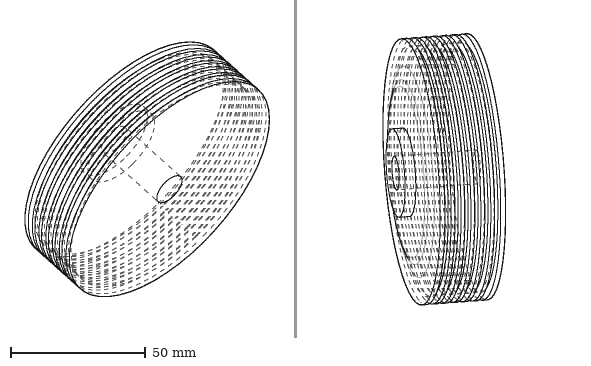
import cadquery as cq
import math


rim_radius = 49.7
rim_width = 25.0

groove_count = 6
groove_pitch = 3.8
groove_depth = 3.0
groove_top_width = 2.3
groove_floor_width = 1.4

web_rise = 2.0
web_face_radius = 32.0
concave_radius = 9.9
convex_radius = 5.0

boss_rise = 4.1
boss_radius = 16.5
bore_radius = 6.3

rim_face_x = -rim_width
web_face_x = rim_face_x - web_rise
boss_face_x = web_face_x - boss_rise

blend_angle = math.acos(1 - web_rise / (concave_radius + convex_radius))
blend_outer_radius = web_face_radius + (concave_radius + convex_radius) * math.sin(blend_angle)


def convex_point(angle):
    """Point on the arc rounding off the web face, measured from that face."""
    x = web_face_x + convex_radius * (1 - math.cos(angle))
    return (x, web_face_radius + convex_radius * math.sin(angle))


def concave_point(angle):
    """Point on the arc rising from the rim face, measured from that face."""
    x = rim_face_x - concave_radius * (1 - math.cos(angle))
    return (x, blend_outer_radius - concave_radius * math.sin(angle))


def make_body():
    """Revolve the half section of the rim, web, boss and bore."""
    section = (
        cq.Workplane("XY")
        .moveTo(0, bore_radius)
        .lineTo(boss_face_x, bore_radius)
        .lineTo(boss_face_x, boss_radius)
        .lineTo(web_face_x, boss_radius)
        .lineTo(web_face_x, web_face_radius)
        .threePointArc(convex_point(blend_angle / 2), convex_point(blend_angle))
        .threePointArc(concave_point(blend_angle / 2), concave_point(0))
        .lineTo(rim_face_x, rim_radius)
        .lineTo(0, rim_radius)
        .close()
    )
    return section.revolve(360, (0, 0, 0), (1, 0, 0))


def make_groove(center_x):
    """Ring with a tapered section that cuts one belt groove."""
    floor_radius = rim_radius - groove_depth
    section = cq.Workplane("XY").polyline([
        (center_x - groove_top_width / 2, rim_radius),
        (center_x - groove_floor_width / 2, floor_radius),
        (center_x + groove_floor_width / 2, floor_radius),
        (center_x + groove_top_width / 2, rim_radius),
    ]).close()
    return section.revolve(360, (0, 0, 0), (1, 0, 0))


result = make_body()
for index in range(groove_count):
    offset = (index - (groove_count - 1) / 2) * groove_pitch
    result = result.cut(make_groove(-rim_width / 2 + offset))